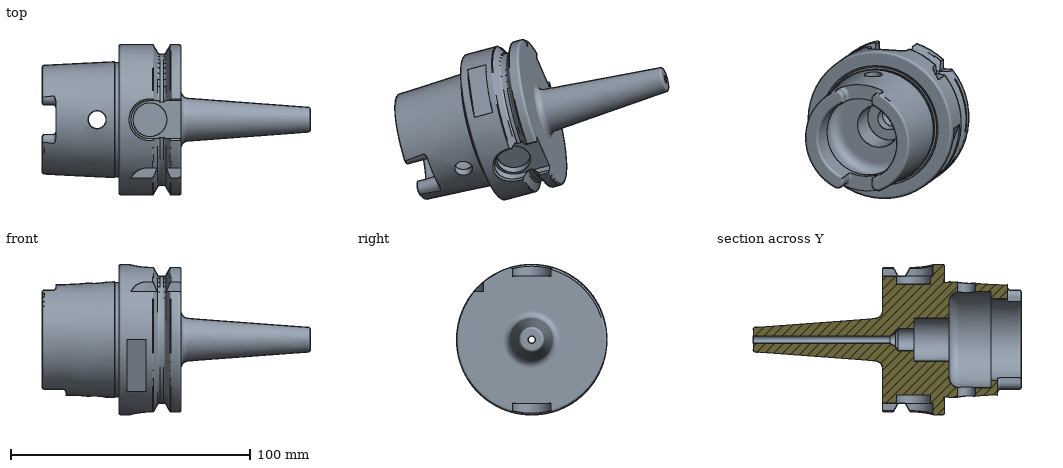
import cadquery as cq
import math

total_length = 112.0

shank_end_radius = 22.7
taper_slope = 0.05
flange_face_x = 32.0
relief_start_x = 30.1
relief_radius = 24.0
relief_taper = 0.3
face_relief_radius = 25.5
face_relief_inner_radius = 24.9
face_relief_depth = 0.3
shank_end_rounding = 1.0

flange_radius = 31.5
flange_end_x = 58.0
flange_rounding = 1.0

groove_center_x = 50.0
groove_floor_width = 2.8
groove_floor_radius = 27.5
groove_half_angle = 30.0
groove_floor_fillet = 1.0
groove_lip_fillet = 0.5

nose_base_radius = 9.2
nose_tip_radius = 5.2
nose_root_fillet = 3.0
nose_tip_rounding = 1.0

bore_radius = 17.0
clamp_groove_start_x = 12.8
clamp_groove_radius = 20.0
clamp_groove_floor_x = 30.1
clamp_groove_floor_fillet = 4.4
thread_hole_radius = 9.0
thread_hole_end_x = 44.8
stop_hole_radius = 4.6
stop_hole_end_x = 51.5
stop_cone_radius = 2.8
stop_cone_length = 1.1
coolant_radius = 1.5
coolant_cone_length = 2.2

drive_slot_half_width = 6.2
drive_slot_depth_top = 5.7
drive_slot_depth_bottom = 9.9
drive_slot_shoulder_z = 20.7
drive_slot_corner_radius = 2.7
drive_slot_floor_fillet = 1.2

radial_hole_radius = 3.7
radial_hole_x = 23.0

cutter_radius = 8.0
key_slot_center_x = 45.0
key_slot_floor_z = 26.5
key_slot_chamfer = 0.8
key_pocket_radius = 7.0
key_pocket_depth = 3.4

notch_wall_y = -20.2
notch_floor_z = 20.0
notch_runout_x = 44.0

flat_start_x = 35.5
flat_end_x = 43.5
flat_lower_z = -21.7

clearance = 11.2
margin = 0.1


def axial_cylinder(start_x, end_x, radius):
    """Cylinder on the tool axis."""
    return cq.Workplane("YZ", origin=(start_x, 0, 0)).circle(radius).extrude(end_x - start_x)


def turned(points):
    """Revolve a closed (x, radius) outline about the tool axis."""
    return cq.Workplane("XY").polyline(points).close().revolve(360, (0, 0, 0), (1, 0, 0))


def box_between(low, high):
    """Box given by two opposite corners."""
    size = [b - a for a, b in zip(low, high)]
    return cq.Workplane("XY").box(*size, centered=False).translate(low)


def make_shank():
    """Solid tapered shank with a relief neck next to the flange."""
    relief_top_radius = shank_end_radius + taper_slope * relief_start_x
    return turned([
        (0, 0),
        (0, shank_end_radius),
        (relief_start_x, relief_top_radius),
        (relief_start_x + relief_taper, relief_radius),
        (flange_face_x + face_relief_depth, relief_radius),
        (flange_face_x + face_relief_depth, 0),
    ])


def drive_slot_cutter(side, depth):
    """Slot through one wall of the shank end, flaring outwards over rounded shoulders."""
    shoulder_y = drive_slot_half_width + drive_slot_corner_radius
    corner_start_z = drive_slot_shoulder_z - drive_slot_corner_radius
    arc_inset = drive_slot_corner_radius * (1 - math.sqrt(0.5))
    arc_mid_y = drive_slot_half_width + arc_inset
    arc_mid_z = drive_slot_shoulder_z - arc_inset
    outer_y = shoulder_y + clearance
    outer_z = drive_slot_shoulder_z + clearance
    cutter = (
        cq.Workplane("YZ", origin=(-clearance, 0, 0))
        .moveTo(-drive_slot_half_width, 0)
        .lineTo(-drive_slot_half_width, side * corner_start_z)
        .threePointArc((-arc_mid_y, side * arc_mid_z), (-shoulder_y, side * drive_slot_shoulder_z))
        .lineTo(-outer_y, side * drive_slot_shoulder_z)
        .lineTo(-outer_y, side * outer_z)
        .lineTo(outer_y, side * outer_z)
        .lineTo(outer_y, side * drive_slot_shoulder_z)
        .lineTo(shoulder_y, side * drive_slot_shoulder_z)
        .threePointArc((arc_mid_y, side * arc_mid_z), (drive_slot_half_width, side * corner_start_z))
        .lineTo(drive_slot_half_width, 0)
        .close()
        .extrude(clearance + depth)
    )
    return cutter.faces(">X").edges().fillet(drive_slot_floor_fillet)


def key_slot_cutter():
    """Round-ended slot running out through the nose side of the flange."""
    slot_height = flange_radius + clearance - key_slot_floor_z
    run_length = flange_end_x + clearance - key_slot_center_x
    base = cq.Workplane("XY", origin=(key_slot_center_x, 0, key_slot_floor_z))
    round_end = base.circle(cutter_radius).extrude(slot_height)
    run = base.rect(run_length, 2 * cutter_radius).extrude(slot_height).translate((run_length / 2, 0, 0))
    return round_end.union(run)


def key_pocket_cutter():
    """Round pocket sunk into the key slot floor."""
    pocket_base_z = key_slot_floor_z - key_pocket_depth
    base = cq.Workplane("XY", origin=(key_slot_center_x, 0, pocket_base_z))
    return base.circle(key_pocket_radius).extrude(key_pocket_depth)


def turned_upside_down(shape):
    """Copy of a shape rotated half a turn about the tool axis."""
    return shape.rotate((0, 0, 0), (1, 0, 0), 180)


def flange_envelope():
    """Flange disc with rounded rims and a V-groove whose lips and floor are rounded."""
    half_floor = groove_floor_width / 2
    groove_depth = flange_radius - groove_floor_radius
    half_lip = half_floor + groove_depth * math.tan(math.radians(groove_half_angle))
    rounded_corners = [
        ((flange_face_x, flange_radius), flange_rounding),
        ((groove_center_x - half_lip, flange_radius), groove_lip_fillet),
        ((groove_center_x - half_floor, groove_floor_radius), groove_floor_fillet),
        ((groove_center_x + half_floor, groove_floor_radius), groove_floor_fillet),
        ((groove_center_x + half_lip, flange_radius), groove_lip_fillet),
        ((flange_end_x, flange_radius), flange_rounding),
    ]
    corners = [point for point, _ in rounded_corners]
    start = (flange_face_x, 0)
    profile = cq.Sketch().polygon([start, *corners, (flange_end_x, 0), start])
    for (x, radius), rounding in rounded_corners:
        corner = cq.selectors.NearestToPointSelector((x, radius, 0))
        profile = profile.reset().vertices(corner).fillet(rounding)
    return cq.Workplane("XY").placeSketch(profile.reset()).revolve(360, (0, 0, 0), (1, 0, 0))


def make_flange():
    """Slots are chamfered on a plain disc, which is then trimmed to the grooved envelope."""
    slot = key_slot_cutter()
    disc = axial_cylinder(flange_face_x, flange_end_x, flange_radius)
    disc = disc.cut(slot).cut(turned_upside_down(slot))
    rim_low_z = math.sqrt(flange_radius**2 - cutter_radius**2) - margin
    reach_y = cutter_radius + margin
    start_x = flange_face_x + margin
    end_x = flange_end_x - margin
    top_rim = cq.selectors.BoxSelector((start_x, -reach_y, rim_low_z), (end_x, reach_y, flange_radius))
    bottom_rim = cq.selectors.BoxSelector((start_x, -reach_y, -flange_radius), (end_x, reach_y, -rim_low_z))
    disc = disc.edges(top_rim + bottom_rim).chamfer(key_slot_chamfer)
    pocket = key_pocket_cutter()
    return disc.intersect(flange_envelope()).cut(pocket).cut(turned_upside_down(pocket))


def notch_cutter():
    """Square step milled off one rim corner, ending in the round of the cutter."""
    outer = flange_radius + clearance
    step = box_between(
        (notch_runout_x, -outer, notch_floor_z),
        (flange_end_x + clearance, notch_wall_y, outer),
    )
    runout = (
        cq.Workplane("XY", origin=(notch_runout_x, notch_wall_y - cutter_radius, notch_floor_z))
        .circle(cutter_radius)
        .extrude(clearance)
    )
    return step.union(runout)


def rim_flat_cutter():
    """Chord cut across the rim, from mid height down to the lower edge of the flat."""
    lower_y = -math.sqrt(flange_radius**2 - flat_lower_z**2)
    outer_y = -flange_radius - clearance
    return (
        cq.Workplane("YZ", origin=(flat_start_x, 0, 0))
        .polyline([(-flange_radius, 0), (lower_y, flat_lower_z), (outer_y, flat_lower_z), (outer_y, 0)])
        .close()
        .extrude(flat_end_x - flat_start_x)
    )


def face_relief_ring():
    """Shallow recess in the flange face around the shank."""
    recess_floor_x = flange_face_x + face_relief_depth
    return turned([
        (flange_face_x, relief_radius),
        (flange_face_x, face_relief_radius),
        (recess_floor_x, face_relief_inner_radius),
        (recess_floor_x, relief_radius),
    ])


def make_nose():
    """Tapered nose with a rounded tip."""
    nose = turned([
        (flange_end_x, 0),
        (flange_end_x, nose_base_radius),
        (total_length, nose_tip_radius),
        (total_length, 0),
    ])
    return nose.faces(">X").edges().fillet(nose_tip_rounding)


def make_bores():
    """Entry bore, internal clamping groove and the stepped hole running through the nose."""
    entry_bore = axial_cylinder(0, clamp_groove_start_x, bore_radius)
    clamp_groove = axial_cylinder(clamp_groove_start_x, clamp_groove_floor_x, clamp_groove_radius)
    clamp_groove = clamp_groove.faces(">X").edges().fillet(clamp_groove_floor_fillet)
    cone_end_x = stop_hole_end_x + stop_cone_length
    stepped_hole = turned([
        (0, 0),
        (0, thread_hole_radius),
        (thread_hole_end_x, thread_hole_radius),
        (thread_hole_end_x, stop_hole_radius),
        (stop_hole_end_x, stop_hole_radius),
        (cone_end_x, stop_cone_radius),
        (cone_end_x + coolant_cone_length, coolant_radius),
        (total_length, coolant_radius),
        (total_length, 0),
    ])
    return entry_bore.union(clamp_groove).union(stepped_hole)


flange = make_flange().cut(notch_cutter()).cut(rim_flat_cutter()).cut(face_relief_ring())
shank = (
    make_shank()
    .cut(make_bores())
    .cut(drive_slot_cutter(1, drive_slot_depth_top))
    .cut(drive_slot_cutter(-1, drive_slot_depth_bottom))
    .faces("<X")
    .edges()
    .fillet(shank_end_rounding)
)
radial_hole = (
    cq.Workplane("XY", origin=(radial_hole_x, 0, -flange_radius))
    .circle(radial_hole_radius)
    .extrude(2 * flange_radius)
)
root_zone = cq.selectors.BoxSelector(
    (flange_end_x - margin, -nose_base_radius, -nose_base_radius),
    (flange_end_x + margin, nose_base_radius, nose_base_radius),
)
flange_and_nose = flange.union(make_nose()).edges("%CIRCLE").edges(root_zone).fillet(nose_root_fillet)
result = flange_and_nose.union(shank).cut(make_bores()).cut(radial_hole)